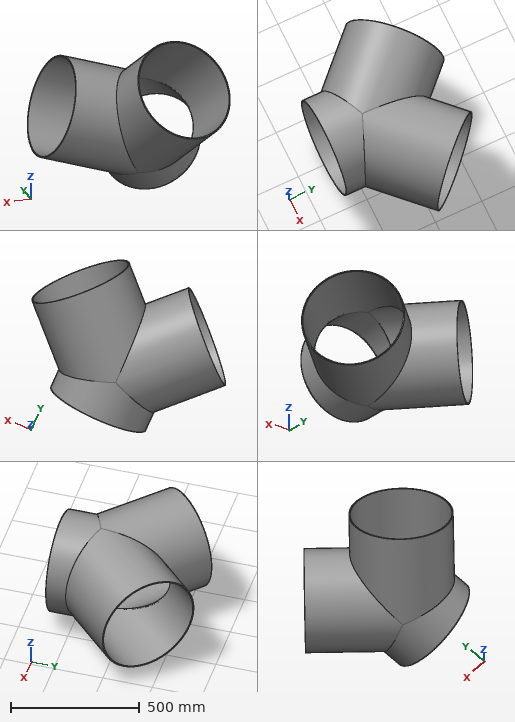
import cadquery as cq
import math

overall_width = 826.0
overall_depth = 578.0
outer_diameter = 406.5
bore_diameter = 396.5
branch_angle = 45.0

outer_radius = outer_diameter / 2
bore_radius = bore_diameter / 2
slope_cos = math.cos(math.radians(branch_angle))
slope_sin = math.sin(math.radians(branch_angle))

branch_length = (overall_width / 2 - outer_radius * slope_sin) / slope_cos
branch_reach = branch_length * slope_sin + outer_radius * slope_cos
stem_length = overall_depth - branch_reach

stem_heading = -90.0
right_heading = branch_angle
left_heading = 180.0 - branch_angle

right_mitre = (stem_heading + right_heading) / 2
left_mitre = 180.0 - right_mitre
crotch_mitre = (right_heading + left_heading) / 2

sector_radius = 2 * overall_width


def direction(heading):
    angle = math.radians(heading)
    return cq.Vector(math.cos(angle), math.sin(angle), 0)


def sector(start, middle, end):
    """Wedge around the junction point, bounded by two mitre planes."""
    corners = [(0, 0)]
    for heading in (start, middle, end):
        point = direction(heading) * sector_radius
        corners.append((point.x, point.y))
    return cq.Workplane("XY").polyline(corners).close().extrude(outer_diameter, both=True)


def mitred_pipe(heading, length, start_mitre, end_mitre):
    """Hollow pipe from the junction outwards, trimmed to its sector."""
    axis = direction(heading)
    overrun = overall_width
    start_plane = cq.Plane(origin=axis * -overrun, xDir=(0, 0, 1), normal=axis)
    pipe = (
        cq.Workplane(start_plane)
        .circle(outer_radius)
        .circle(bore_radius)
        .extrude(overrun + length)
    )
    return pipe.intersect(sector(start_mitre, heading, end_mitre))


stem = mitred_pipe(stem_heading, stem_length, left_mitre - 360.0, right_mitre)
right_branch = mitred_pipe(right_heading, branch_length, right_mitre, crotch_mitre)
left_branch = mitred_pipe(left_heading, branch_length, crotch_mitre, left_mitre)

result = stem.union(right_branch).union(left_branch)